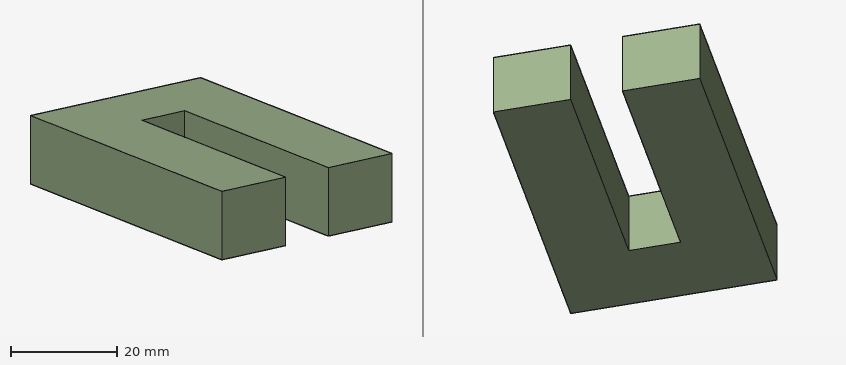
import cadquery as cq

length = 60.0
width = 40.0
height = 13.5
wall = 15.0

slot_length = length - wall
slot_width = width - 2 * wall

block = cq.Workplane("XY").box(length, width, height)

slot = (
    cq.Workplane("XY")
    .box(slot_length, slot_width, height)
    .translate((wall / 2, 0, 0))
)

result = block.cut(slot)